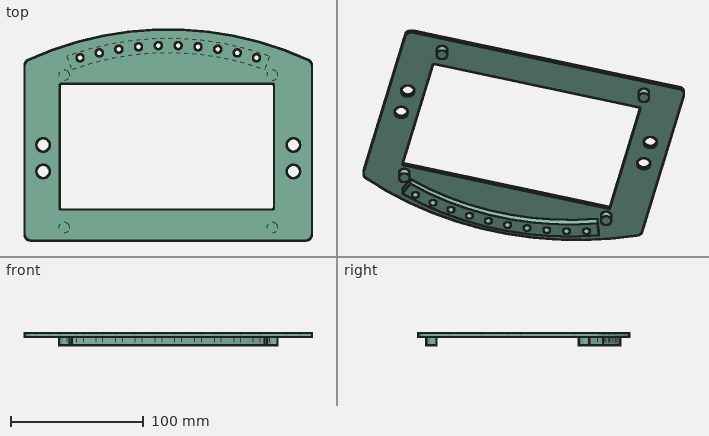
import cadquery as cq
import math

PLATE_WIDTH = 217.0
PLATE_HEIGHT = 159.5
PLATE_THICKNESS = 3.0
ARCH_RADIUS = 253.8
CORNER_RADIUS = 5.0

WINDOW_WIDTH = 161.4
WINDOW_HEIGHT = 94.5
WINDOW_BOTTOM = 23.6
WINDOW_OFFSET_X = -1.0
WINDOW_CORNER_RADIUS = 1.0

BUTTON_DIAMETER = 10.0
BUTTON_X = 94.4
BUTTON_HEIGHTS = (52.3, 72.2)

LAMP_DIAMETER = 5.2
LAMP_COUNT = 10
LAMP_PITCH_DEGREES = 3.55
LAMP_INSET = 12.1

TOTAL_DEPTH = 9.3
BACK_DEPTH = TOTAL_DEPTH - PLATE_THICKNESS
POST_DIAMETER = 8.0
POST_SPACING_X = 157.0
POST_SPACING_Y = 115.0
POST_BOTTOM_Y = 10.0
BAND_WIDTH = 10.8
BAND_OUTER_RADIUS = 223.5
BAND_TOP_INSET = 6.7
BAND_HALF_ANGLE_DEGREES = 20.0

ARCH_CENTER_Y = PLATE_HEIGHT - ARCH_RADIUS
LAMP_ARC_RADIUS = ARCH_RADIUS - LAMP_INSET
BAND_TOP_Y = PLATE_HEIGHT - BAND_TOP_INSET


def arc_y(radius, x):
    """Height at x of an arc concentric with the arched edge."""
    return ARCH_CENTER_Y + math.sqrt(radius**2 - x**2)


def make_plate():
    half = PLATE_WIDTH / 2
    shoulder_y = arc_y(ARCH_RADIUS, half)
    return (
        cq.Workplane("XY")
        .moveTo(-half, 0)
        .lineTo(half, 0)
        .lineTo(half, shoulder_y)
        .threePointArc((0, PLATE_HEIGHT), (-half, shoulder_y))
        .close()
        .extrude(PLATE_THICKNESS)
        .edges("|Z")
        .fillet(CORNER_RADIUS)
    )


def make_window():
    return (
        cq.Workplane("XY")
        .center(WINDOW_OFFSET_X, WINDOW_BOTTOM + WINDOW_HEIGHT / 2)
        .rect(WINDOW_WIDTH, WINDOW_HEIGHT)
        .extrude(PLATE_THICKNESS)
        .edges("|Z")
        .fillet(WINDOW_CORNER_RADIUS)
    )


def make_button_holes():
    centers = [(side * BUTTON_X, y) for side in (-1, 1) for y in BUTTON_HEIGHTS]
    return cq.Workplane("XY").pushPoints(centers).circle(BUTTON_DIAMETER / 2).extrude(PLATE_THICKNESS)


def make_lamp_band():
    """Curved band with radial ends, behind the plate, that deepens the lamp holes."""
    outer = BAND_OUTER_RADIUS
    inner = BAND_OUTER_RADIUS - BAND_WIDTH
    center_y = BAND_TOP_Y - BAND_OUTER_RADIUS
    end_angle = math.radians(BAND_HALF_ANGLE_DEGREES)

    def band_point(radius, angle):
        return (radius * math.sin(angle), center_y + radius * math.cos(angle))

    return (
        cq.Workplane("XY")
        .moveTo(*band_point(inner, -end_angle))
        .threePointArc(band_point(inner, 0), band_point(inner, end_angle))
        .lineTo(*band_point(outer, end_angle))
        .threePointArc(band_point(outer, 0), band_point(outer, -end_angle))
        .close()
        .extrude(-BACK_DEPTH)
    )


def make_lamp_holes():
    centers = []
    for index in range(LAMP_COUNT):
        angle = math.radians((index - (LAMP_COUNT - 1) / 2) * LAMP_PITCH_DEGREES)
        x = LAMP_ARC_RADIUS * math.sin(angle)
        centers.append((x, arc_y(LAMP_ARC_RADIUS, x)))
    return (
        cq.Workplane("XY")
        .workplane(offset=-BACK_DEPTH)
        .pushPoints(centers)
        .circle(LAMP_DIAMETER / 2)
        .extrude(TOTAL_DEPTH)
    )


def make_posts():
    return (
        cq.Workplane("XY")
        .center(0, POST_BOTTOM_Y + POST_SPACING_Y / 2)
        .rect(POST_SPACING_X, POST_SPACING_Y, forConstruction=True)
        .vertices()
        .circle(POST_DIAMETER / 2)
        .extrude(-BACK_DEPTH)
    )


result = (
    make_plate()
    .union(make_lamp_band())
    .union(make_posts())
    .cut(make_window())
    .cut(make_button_holes())
    .cut(make_lamp_holes())
)